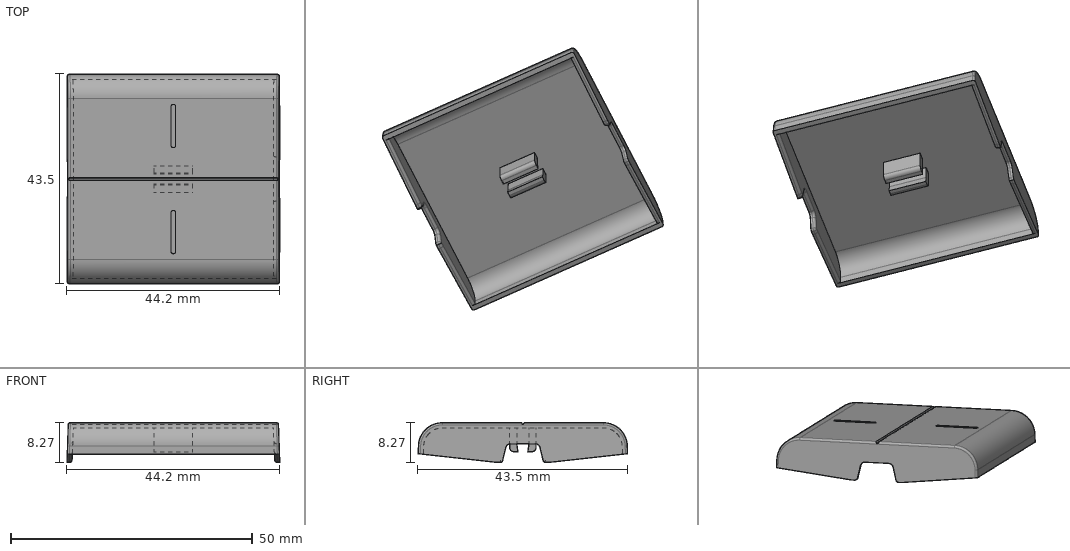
import cadquery as cq
import math

length_x = 44.21
width_y = 43.5
height = 8.27
wall = 1.1

draft = math.tan(math.radians(2))
shoulder_radius = 5.0
side_edge_radius = 0.48

rim_slope = math.tan(math.radians(6.3))
skirt_depth = 6.47

notch_depth = 4.4
notch_half_top = 3.35
notch_half_bottom = 4.3
notch_roof_radius = 1.0
notch_tip_radius = 0.7

inner_rim_radius = 0.6

groove_half_width = 0.3
groove_depth = 0.4
slot_width = 0.95
slot_length = 9.0
slot_offset = 11.0
slot_depth = 0.1

clip_outer = 2.75
clip_inner_top = 1.25
clip_inner_bottom = 1.0
clip_depth = 6.05
clip_length = 8.0
clip_tip_radius = 0.9

clearance = 1.0
half_x = length_x / 2
half_y = width_y / 2


def prism_along_x(points, span):
    """Prism of a YZ outline, centred on X = 0."""
    return cq.Workplane("YZ").polyline(points).close().extrude(span / 2, both=True)


def drafted_half(half_bottom, bottom_depth, depth):
    """Half width at the given depth of a drafted wall known at bottom_depth."""
    return half_bottom - (bottom_depth - depth) * draft


def drafted_block(inset, bottom_depth):
    """Domed block with all four walls drafted, set in from the outer skin by inset."""
    y_top = drafted_half(half_y, skirt_depth, inset) - inset
    y_bottom = drafted_half(half_y, skirt_depth, bottom_depth) - inset
    x_top = drafted_half(half_x, height, inset) - inset
    x_bottom = drafted_half(half_x, height, bottom_depth) - inset
    dome = prism_along_x(
        [(-y_top, -inset), (y_top, -inset), (y_bottom, -bottom_depth), (-y_bottom, -bottom_depth)],
        length_x,
    )
    dome = dome.faces(">Z").edges("|X").fillet(shoulder_radius - inset)
    side_limits = (
        cq.Workplane("XZ")
        .polyline([(-x_top, -inset), (x_top, -inset), (x_bottom, -bottom_depth), (-x_bottom, -bottom_depth)])
        .close()
        .extrude(half_y + clearance, both=True)
    )
    return dome.intersect(side_limits)


def outer_block():
    """Outer skin with the edges around both side walls rounded."""
    block = drafted_block(0, height)
    above_bottom = cq.selectors.BoxSelector(
        (-length_x, -width_y, -height + clearance / 2),
        (length_x, width_y, clearance),
    )
    side_edges = block.faces("<X or >X").edges(above_bottom)
    return side_edges.fillet(side_edge_radius)


def rim_cutter():
    """Everything below the sloped lower rim, with the notch rising in its middle."""
    reach = half_y + clearance
    rim_outer = skirt_depth - clearance * rim_slope
    rim_tip = skirt_depth + (half_y - notch_half_bottom) * rim_slope
    floor = height + 2 * clearance
    cutter = prism_along_x(
        [
            (-reach, -rim_outer),
            (-notch_half_bottom, -rim_tip),
            (-notch_half_top, -notch_depth),
            (notch_half_top, -notch_depth),
            (notch_half_bottom, -rim_tip),
            (reach, -rim_outer),
            (reach, -floor),
            (-reach, -floor),
        ],
        length_x + 2 * clearance,
    )
    cutter = cutter.faces(">Z").edges("|X").fillet(notch_roof_radius)
    tip_box = cq.selectors.BoxSelector(
        (-length_x, -notch_half_bottom - clearance, -rim_tip - clearance / 2),
        (length_x, notch_half_bottom + clearance, -rim_tip + clearance / 2),
    )
    return cutter.edges(tip_box).fillet(notch_tip_radius)


def round_inner_rim(shell):
    """Round the inner lower edge of both side walls, following the rim and the notch."""
    reach_y = half_y - 2 * wall
    for x_near, x_far in ((half_x - 2 * wall, half_x - wall / 2), (wall / 2 - half_x, 2 * wall - half_x)):
        inner_rim = cq.selectors.BoxSelector(
            (x_near, -reach_y, -height - clearance),
            (x_far, reach_y, -notch_depth + clearance / 2),
        )
        shell = shell.edges(inner_rim).fillet(inner_rim_radius)
    return shell


def middle_groove():
    """V groove across the top face, along X."""
    return prism_along_x(
        [(-groove_half_width, 0), (groove_half_width, 0), (0, -groove_depth)],
        length_x,
    )


def marker_slots():
    """One shallow round-ended slot in each half of the top face."""
    return (
        cq.Workplane("XY")
        .pushPoints([(0, -slot_offset), (0, slot_offset)])
        .slot2D(slot_length, slot_width, 90)
        .extrude(-slot_depth)
    )


def clip_leg(side):
    """Clip leg hanging from the roof; side is +1 or -1 along Y."""
    root = -wall / 2
    leg = prism_along_x(
        [
            (side * clip_outer, root),
            (side * clip_inner_top, root),
            (side * clip_inner_top, -notch_depth),
            (side * clip_inner_bottom, -clip_depth),
            (side * clip_outer, -clip_depth),
        ],
        clip_length,
    )
    outer_tip = leg.faces("<Z").edges(">Y" if side > 0 else "<Y")
    return outer_tip.fillet(clip_tip_radius)


cap = outer_block().cut(drafted_block(wall, height + clearance)).cut(rim_cutter())
cap = round_inner_rim(cap)
cap = cap.union(clip_leg(1)).union(clip_leg(-1))
result = cap.cut(middle_groove()).cut(marker_slots())